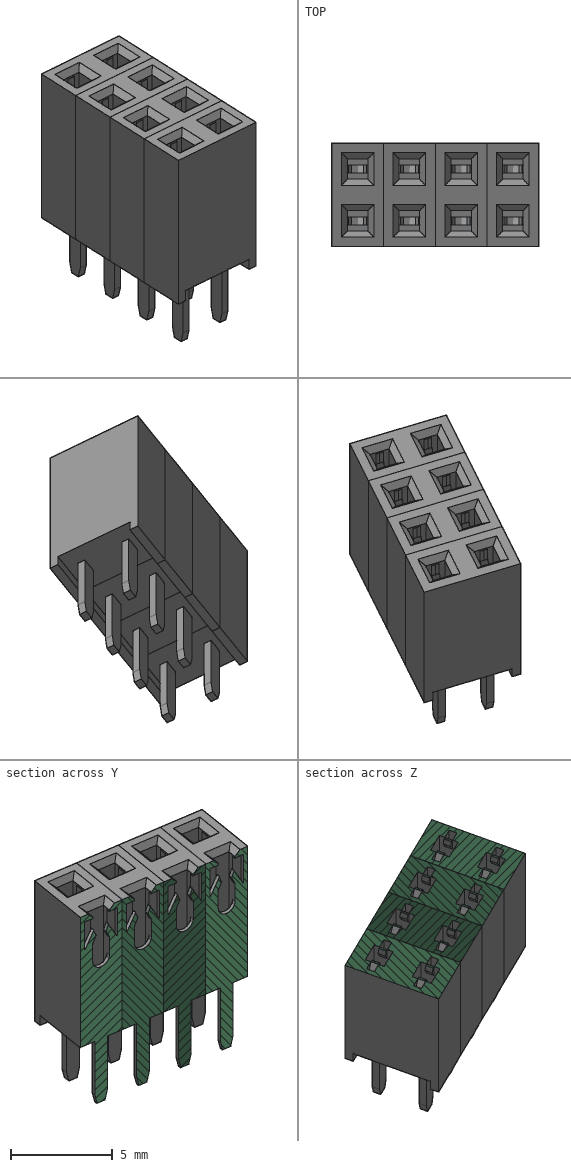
import cadquery as cq
import math

module_count = 4
pitch = 2.54
module_depth = 2 * pitch
total_height = 11.7
tail_length = 3.2
body_height = total_height - tail_length
contact_rows = (-pitch / 2, pitch / 2)

foot_height = 0.6
foot_width = 0.46

socket_width = 1.0
lead_in = 0.3
socket_depth = 4.21
socket_floor = body_height - socket_depth

sheet_thickness = 0.4

tail_width = 0.8
tail_tip_width = 0.5
tail_taper = 0.6

slot_width = 1.99
slot_drop = 0.1
slot_roof = body_height - lead_in - slot_drop

web_height = 0.7
tip_half = 0.45
grip_half = 0.29
valley_radius = socket_width / 2
tip_drop = 0.7
grip_drop = 0.4
grip_relief = 0.42
outer_slope = math.radians(60.8)


def housing_block(x):
    """Block with a channel along X between the two feet."""
    block = cq.Workplane("XY").box(pitch, module_depth, body_height, centered=(True, True, False))
    channel = cq.Workplane("XY").box(
        pitch, module_depth - 2 * foot_width, foot_height, centered=(True, True, False)
    )
    return block.cut(channel).translate((x, 0, 0))


def socket(x, y):
    """Square hole with a tapered mouth, as a cutting tool."""
    mouth_width = socket_width + 2 * lead_in
    mouth = (
        cq.Workplane("XY", origin=(x, y, body_height))
        .rect(mouth_width, mouth_width)
        .workplane(offset=-lead_in)
        .rect(socket_width, socket_width)
        .loft(ruled=True)
    )
    hole = cq.Workplane("XY", origin=(x, y, body_height - socket_depth)).box(
        socket_width, socket_width, socket_depth - lead_in, centered=(True, True, False)
    )
    return mouth.union(hole)


def sheet(outline):
    """Extrude an outline in XZ symmetrically to the thickness of the contact."""
    return outline.close().extrude(sheet_thickness / 2, both=True)


def slot(x, y):
    """Slot across the socket that holds the contact, as a cutting tool."""
    return cq.Workplane("XY", origin=(x, y, socket_floor)).box(
        slot_width, sheet_thickness, slot_roof - socket_floor, centered=(True, True, False)
    )


def fork(x, y):
    """Fork-shaped end of the contact: two jaws over a round-bottomed gap, filling the slot width."""
    slot_half = slot_width / 2
    tip_z = slot_roof - tip_drop
    flank_z = tip_z - (slot_half - tip_half) * math.tan(outer_slope)
    grip_z = tip_z - grip_drop
    relief_z = grip_z - grip_relief
    valley_bottom = socket_floor + web_height
    valley_z = valley_bottom + valley_radius
    return sheet(
        cq.Workplane("XZ", origin=(x, y, 0))
        .moveTo(-slot_half, socket_floor)
        .lineTo(-slot_half, flank_z)
        .lineTo(-tip_half, tip_z)
        .lineTo(-grip_half, grip_z)
        .lineTo(-valley_radius, relief_z)
        .lineTo(-valley_radius, valley_z)
        .threePointArc((0, valley_bottom), (valley_radius, valley_z))
        .lineTo(valley_radius, relief_z)
        .lineTo(grip_half, grip_z)
        .lineTo(tip_half, tip_z)
        .lineTo(slot_half, flank_z)
        .lineTo(slot_half, socket_floor)
    )


def tail(x, y):
    """Solder tail with a tapered end, reaching up to the roof of the channel."""
    taper_z = tail_taper - tail_length
    return sheet(
        cq.Workplane("XZ", origin=(x, y, 0))
        .moveTo(-tail_width / 2, foot_height)
        .lineTo(tail_width / 2, foot_height)
        .lineTo(tail_width / 2, taper_z)
        .lineTo(tail_tip_width / 2, -tail_length)
        .lineTo(-tail_tip_width / 2, -tail_length)
        .lineTo(-tail_width / 2, taper_z)
    )


def connector_module(x):
    """One module of the connector: housing block with two contacts in one piece."""
    module = housing_block(x)
    for y in contact_rows:
        module = module.cut(socket(x, y))
        module = module.cut(slot(x, y))
        module = module.union(fork(x, y))
        module = module.union(tail(x, y))
    return module


modules = []
for index in range(module_count):
    module_x = (index - (module_count - 1) / 2) * pitch
    modules.append(connector_module(module_x).val())

result = cq.Compound.makeCompound(modules)